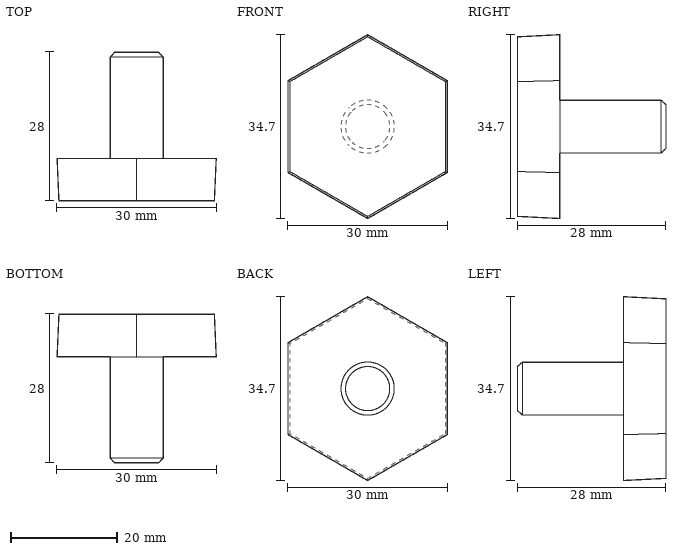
import cadquery as cq
import math

corner_diameter = 34.65
head_height = 8.0
draft_angle = 2.5

shank_diameter = 10.0
shank_length = 20.0
tip_diameter = 8.3
tip_length = 0.95


def make_head():
    """Head from its wide rear face at Y = 0 to the smaller front face at -Y."""
    corner_radius = corner_diameter / 2
    corners = []
    for index in range(6):
        angle = math.radians(90 + 60 * index)
        corners.append((corner_radius * math.cos(angle), corner_radius * math.sin(angle)))
    return cq.Workplane("XZ").polyline(corners).close().extrude(head_height, taper=draft_angle)


def make_shank():
    """Shank along +Y, revolved from its half profile; it starts at the head's rear face."""
    shank_radius = shank_diameter / 2
    return (
        cq.Workplane("XY")
        .moveTo(0, 0)
        .lineTo(shank_radius, 0)
        .lineTo(shank_radius, shank_length - tip_length)
        .lineTo(tip_diameter / 2, shank_length)
        .lineTo(0, shank_length)
        .close()
        .revolve(360, (0, 0), (0, 1))
    )


result = make_head().union(make_shank())